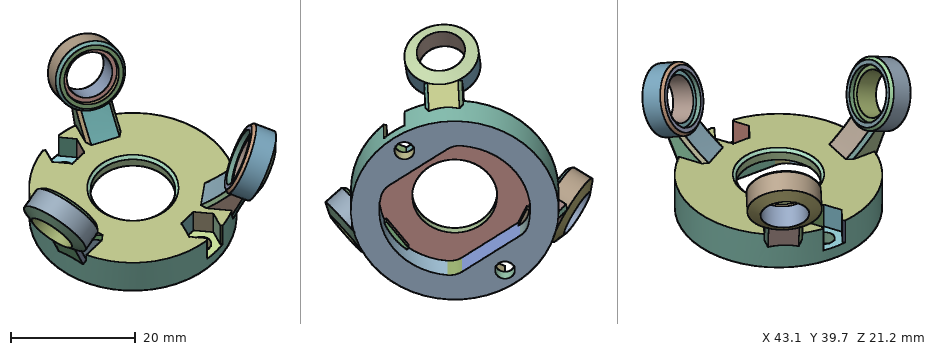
import cadquery as cq
import math

disk_diameter = 33.35
disk_height = 6.5
bore_diameter = 13.65
bore_chamfer = 0.5
lip_thickness = 2.03
recess_diameter = 24.25
recess_across_flats = 19.93
recess_corner_radius = 3.45

screw_radius = 13.75
screw_hole_diameter = 3.2
nut_across_flats = 5.55
nut_pocket_depth = 4.3
mouth_radius = 16.25
mouth_half_width = 1.8
mouth_overrun = 1.3

arm_angles = (30, 150, 270)
ring_tilt = 22.5
ring_center_radius = 20.75
ring_center_height = 14.28
ring_diameter = 12.0
ring_width = 4.0
ring_chamfer = 0.5
ring_bore = 7.8
seat_diameter = 9.4
seat_depth = 0.9

leg_width = 6.12
leg_chamfer = 0.6
leg_foot_radius = 11.3
leg_bottom = 3.45
leg_sag = 0.17
leg_end_inward = 3.05
ring_overlap = 1.3

tilt = math.radians(ring_tilt)
ring_radius = ring_diameter / 2
cone_height = (ring_radius - ring_bore / 2) * math.tan(tilt)


def arm_point(inward, rise):
    """Radius and height of a point given along the ring axis (inward) and across it (rise)."""
    radius = ring_center_radius - inward * math.cos(tilt) + rise * math.sin(tilt)
    height = ring_center_height + inward * math.sin(tilt) + rise * math.cos(tilt)
    return radius, height


def ring_plane(inward):
    """Plane square to the ring axis, with its normal pointing inward and up."""
    radius, height = arm_point(inward, 0)
    return cq.Plane(
        origin=(radius, 0, height),
        xDir=(0, 1, 0),
        normal=(-math.cos(tilt), 0, math.sin(tilt)),
    )


def make_leg():
    """Leg with a slightly hollow inner face and chamfered long edges."""
    foot = (leg_foot_radius, disk_height)
    inner_end = arm_point(leg_end_inward, ring_overlap - ring_radius)
    outer_end = arm_point(0, ring_overlap - ring_radius)
    outer_base = (outer_end[0] - (outer_end[1] - leg_bottom) * math.tan(tilt), leg_bottom)

    run = inner_end[0] - foot[0]
    climb = inner_end[1] - foot[1]
    chord = math.hypot(run, climb)
    hollow = (
        (foot[0] + inner_end[0]) / 2 + leg_sag * climb / chord,
        (foot[1] + inner_end[1]) / 2 - leg_sag * run / chord,
    )
    leg = (
        cq.Workplane("XZ")
        .moveTo(leg_foot_radius, leg_bottom)
        .lineTo(*foot)
        .threePointArc(hollow, inner_end)
        .lineTo(*outer_end)
        .lineTo(*outer_base)
        .close()
        .extrude(leg_width / 2, both=True)
    )
    outer_middle = ((outer_base[0] + outer_end[0]) / 2, (outer_base[1] + outer_end[1]) / 2)
    for radius, height in (hollow, outer_middle):
        for side in (-1, 1):
            edge_middle = (radius, side * leg_width / 2, height)
            leg = leg.edges(cq.selectors.NearestToPointSelector(edge_middle)).chamfer(leg_chamfer)
    return leg


def make_ring():
    """Solid ring blank: chamfered inner rim, outer face coned down to the bore."""
    profile = [
        (0, -cone_height),
        (ring_bore / 2, -cone_height),
        (ring_radius, 0),
        (ring_radius, ring_width - ring_chamfer),
        (ring_radius - ring_chamfer, ring_width),
        (0, ring_width),
    ]
    blank = cq.Workplane("XZ").polyline(profile).close().revolve(360, (0, 0), (0, 1))
    return cq.Workplane(blank.val().moved(cq.Location(ring_plane(0))))


def make_arm():
    """Leg and ring along +X, with the bore and the bearing seat cut through both."""
    bore = cq.Workplane(ring_plane(-cone_height)).circle(ring_bore / 2).extrude(cone_height + ring_width)
    seat = cq.Workplane(ring_plane(ring_width - seat_depth)).circle(seat_diameter / 2).extrude(seat_depth)
    return make_leg().union(make_ring()).cut(bore).cut(seat)


def make_disk():
    """Disk with a chamfered central bore and an underside recess flattened beside the screws."""
    disk = cq.Workplane("XY").circle(disk_diameter / 2).circle(bore_diameter / 2).extrude(disk_height)
    disk = disk.faces(">Z").edges(cq.selectors.RadiusNthSelector(0)).chamfer(bore_chamfer)
    recess_depth = disk_height - lip_thickness
    recess = cq.Workplane("XY").circle(recess_diameter / 2).extrude(recess_depth)
    flats = cq.Workplane("XY").rect(recess_across_flats, recess_diameter).extrude(recess_depth)
    recess = recess.intersect(flats).edges("|Z").fillet(recess_corner_radius)
    return disk.cut(recess)


def make_nut_cut():
    """Screw hole, hexagonal pocket and flared mouth through the rim on the +X side."""
    floor = disk_height - nut_pocket_depth
    hole = cq.Workplane("XY").center(screw_radius, 0).circle(screw_hole_diameter / 2).extrude(disk_height)
    corner_radius = nut_across_flats / math.sqrt(3)
    corners = [
        (
            screw_radius + corner_radius * math.sin(math.radians(60 * i)),
            corner_radius * math.cos(math.radians(60 * i)),
        )
        for i in range(6)
    ]
    pocket = cq.Workplane("XY", origin=(0, 0, floor)).polyline(corners).close().extrude(nut_pocket_depth)
    flared_half_width = mouth_half_width + mouth_overrun
    mouth_end = mouth_radius + mouth_overrun
    mouth = (
        cq.Workplane("XY", origin=(0, 0, floor))
        .polyline(
            [
                (mouth_radius, -mouth_half_width),
                (mouth_end, -flared_half_width),
                (mouth_end, flared_half_width),
                (mouth_radius, mouth_half_width),
            ]
        )
        .close()
        .extrude(nut_pocket_depth)
    )
    return hole.union(pocket).union(mouth)


def turned(shape, angle):
    return shape.rotate((0, 0, 0), (0, 0, 1), angle)


arm = make_arm()
nut_cut = make_nut_cut()

result = make_disk()
for arm_angle in arm_angles:
    result = result.union(turned(arm, arm_angle))
for nut_angle in (0, 180):
    result = result.cut(turned(nut_cut, nut_angle))